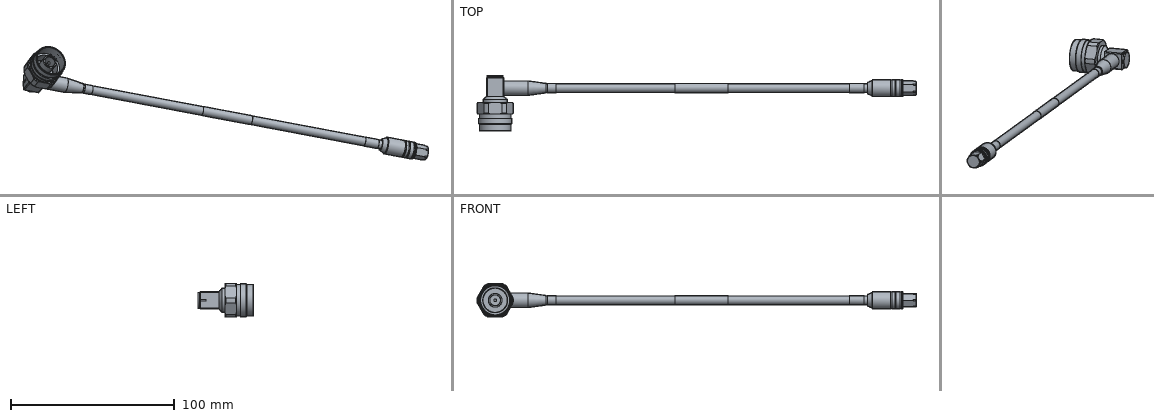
import cadquery as cq
import math

HEX_SIDES = 6
HEX_CORNER_RATIO = 1 / math.cos(math.pi / HEX_SIDES)

CABLE_PLANE = cq.Plane(origin=(0, 0, 0), xDir=(1, 0, 0), normal=(0, -1, 0))
PLUG_PLANE = cq.Plane(origin=(0, 0, 0), xDir=(0, -1, 0), normal=(0, 0, 1))

cap_end = 7.72
cap_thickness = 0.95
cap_radius = 4.9
block_width = 10.5
block_back = cap_end - cap_thickness
block_front = 5.0
block_chamfer = 0.6
notch_width = 0.8
notch_length = 3.5
notch_depth = 0.4

flange_radius = 7.4
flange_start = 6.9
contact_outer_radius = 4.2
contact_inner_radius = 3.3
contact_floor = 15.0
contact_end = 24.5
pin_radius = 0.8
pin_end = 23.0

nut_start = 8.7
nut_hex_end = 15.9
nut_end = 26.22
nut_back_wall = 2.0
nut_flats = 20.57
nut_corner_radius = 11.1
nut_chamfer = 0.6
nut_body_radius = 9.7
rim_chamfer = 0.3
band_start = 18.4
band_end = 22.2
band_radius = 10.2
band_chamfer = 0.5
nut_bore_radius = 7.6
mouth_radius = 8.9
mouth_depth = 8.0
flange_end = nut_start + nut_back_wall

cable_radius = 2.75
sleeve_radius = 2.85
ferrule_radius = 4.5
ferrule_end = 20.1
boot_end = 31.0
boot_tip_radius = 3.0
left_sleeve_start = 32.0
left_sleeve_end = 37.1
label_start = 109.8
label_end = 142.1
right_sleeve_start = 216.5
right_sleeve_end = 225.3

body_start = 227.4
body_shoulder = 230.6
body_end = 249.2
body_radius = 5.25
body_neck_radius = 3.5
body_cone_radius = 4.8
body_chamfer = 0.4
groove_starts = [241.6, 244.1, 247.4]
groove_width = 0.8
groove_depth = 0.15

tip_end = 257.35
tip_flats = 8.0
tip_corner_radius = tip_flats / 2 * HEX_CORNER_RATIO
tip_rim_start = 255.7
tip_rim_radius = 4.35
tip_chamfer = 0.5


def turned(points, plane):
    """Revolve a closed outline of (axial, radius) points about the plane's local X axis."""
    return cq.Workplane(plane).polyline(points).close().revolve(360, (0, 0, 0), (1, 0, 0))


def ring_along_cable(start, end, inner, outer):
    """Tube around the cable axis."""
    return cq.Workplane("YZ", origin=(start, 0, 0)).circle(outer).circle(inner).extrude(end - start)


def make_elbow():
    """Square block with a round back cap, front flange, hollow outer contact and side ferrule."""
    block = (
        cq.Workplane("XZ", origin=(0, block_back, 0))
        .rect(block_width, block_width)
        .extrude(block_back + block_front)
        .edges("|Y or >Y")
        .chamfer(block_chamfer)
    )
    notch = (
        cq.Workplane("XY")
        .box(notch_depth, notch_length, notch_width)
        .translate((
            -(block_width - notch_depth) / 2,
            block_back - block_chamfer - notch_length / 2,
            0,
        ))
    )
    cap = cq.Workplane("XZ", origin=(0, cap_end, 0)).circle(cap_radius).extrude(cap_thickness)
    front = turned(
        [
            (block_front, 0),
            (block_front, block_width / 2),
            (flange_start, flange_radius),
            (flange_end, flange_radius),
            (flange_end, contact_outer_radius),
            (contact_end, contact_outer_radius),
            (contact_end, contact_inner_radius),
            (contact_floor, contact_inner_radius),
            (contact_floor, 0),
        ],
        PLUG_PLANE,
    )
    ferrule = cq.Workplane("YZ").circle(ferrule_radius).extrude(ferrule_end)
    return block.cut(notch).union(cap).union(front).union(ferrule)


def make_center_pin():
    """Pin standing on the floor of the outer contact."""
    return (
        cq.Workplane("XZ", origin=(0, -contact_floor, 0))
        .circle(pin_radius)
        .extrude(pin_end - contact_floor)
    )


def make_coupling_nut():
    """Hexagon with turned corners, then a round shell with a raised band and a stepped bore."""
    hexagon = (
        cq.Workplane("XZ", origin=(0, -nut_start, 0))
        .polygon(HEX_SIDES, nut_flats * HEX_CORNER_RATIO)
        .extrude(nut_hex_end - nut_start)
    )
    corner_limit = turned(
        [
            (nut_start, 0),
            (nut_start, nut_corner_radius - nut_chamfer),
            (nut_start + nut_chamfer, nut_corner_radius),
            (nut_hex_end - nut_chamfer, nut_corner_radius),
            (nut_hex_end, nut_corner_radius - nut_chamfer),
            (nut_hex_end, 0),
        ],
        PLUG_PLANE,
    )
    shell = turned(
        [
            (nut_hex_end, 0),
            (nut_hex_end, nut_body_radius),
            (band_start, nut_body_radius),
            (band_start, band_radius),
            (band_end - band_chamfer, band_radius),
            (band_end, nut_body_radius),
            (nut_end - rim_chamfer, nut_body_radius),
            (nut_end, nut_body_radius - rim_chamfer),
            (nut_end, 0),
        ],
        PLUG_PLANE,
    )
    bore = turned(
        [
            (nut_start, 0),
            (nut_start, flange_radius),
            (flange_end, flange_radius),
            (flange_end, nut_bore_radius),
            (nut_end - mouth_depth, nut_bore_radius),
            (nut_end - mouth_depth, mouth_radius),
            (nut_end, mouth_radius),
            (nut_end, 0),
        ],
        PLUG_PLANE,
    )
    return hexagon.intersect(corner_limit).union(shell).cut(bore)


def make_cable():
    """Cable between the ferrule and the straight connector body."""
    return (
        cq.Workplane("YZ", origin=(ferrule_end, 0, 0))
        .circle(cable_radius)
        .extrude(body_start - ferrule_end)
    )


def make_boot():
    """Tapered strain relief around the cable, against the ferrule."""
    return turned(
        [
            (ferrule_end, cable_radius),
            (ferrule_end, ferrule_radius),
            (boot_end, boot_tip_radius),
            (boot_end, cable_radius),
        ],
        CABLE_PLANE,
    )


def make_sleeve(start, end):
    """Thin sleeve around the cable."""
    return ring_along_cable(start, end, cable_radius, sleeve_radius)


def make_connector_body():
    """Round body with a conical back and shallow ring grooves near the tip."""
    body = turned(
        [
            (body_start, 0),
            (body_start, body_neck_radius),
            (body_shoulder - body_chamfer, body_cone_radius),
            (body_shoulder, body_radius),
            (body_end - body_chamfer, body_radius),
            (body_end, body_radius - body_chamfer),
            (body_end, 0),
        ],
        CABLE_PLANE,
    )
    for start in groove_starts:
        groove = ring_along_cable(
            start, start + groove_width, body_radius - groove_depth, body_radius + groove_depth
        )
        body = body.cut(groove)
    return body


def make_connector_tip():
    """Hexagon with corners on +Y and -Y, its outer end turned down to a chamfered rim."""
    hexagon = (
        cq.Workplane("YZ", origin=(body_end, 0, 0))
        .polygon(HEX_SIDES, 2 * tip_corner_radius)
        .extrude(tip_end - body_end)
    )
    corner_limit = turned(
        [
            (body_end, 0),
            (body_end, tip_corner_radius),
            (tip_rim_start - tip_chamfer, tip_corner_radius),
            (tip_rim_start, tip_rim_radius),
            (tip_end - tip_chamfer, tip_rim_radius),
            (tip_end, tip_rim_radius - tip_chamfer),
            (tip_end, 0),
        ],
        CABLE_PLANE,
    )
    return hexagon.intersect(corner_limit)


elbow = make_elbow()
center_pin = make_center_pin()
coupling_nut = make_coupling_nut()
cable = make_cable()
boot = make_boot()
sleeve_spans = [
    (left_sleeve_start, left_sleeve_end),
    (label_start, label_end),
    (right_sleeve_start, right_sleeve_end),
]
sleeves = [make_sleeve(start, end).val() for start, end in sleeve_spans]
connector_body = make_connector_body()
connector_tip = make_connector_tip()

result = cq.Compound.makeCompound([
    elbow.val(),
    center_pin.val(),
    coupling_nut.val(),
    cable.val(),
    boot.val(),
    *sleeves,
    connector_body.val(),
    connector_tip.val(),
])